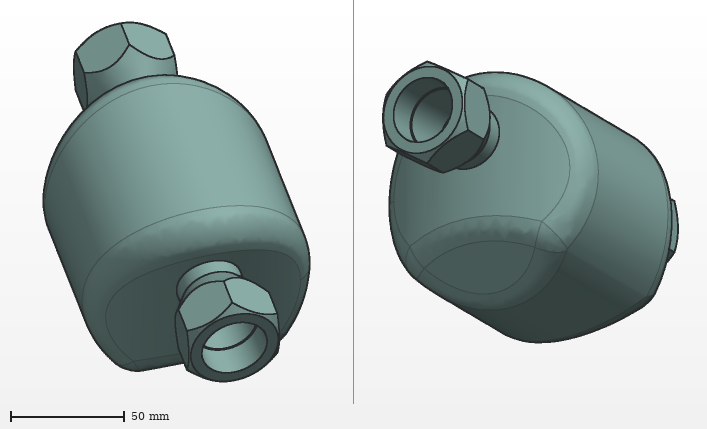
import cadquery as cq
import math

body_diameter = 104.0
body_half_length = 55.5
end_crown_radius = 90.5
bevel_intercept = 81.0
edge_radius = 14.5

overall_half_length = 96.5
port_height = 18.5
neck_diameter = 30.0
cone_start = 63.0
cone_angle = math.radians(30)
hex_flats = 41.5
hex_corners = hex_flats / math.cos(math.radians(30))
face_diameter = 40.1
socket_diameter = 30.0
socket_depth = 15.0
bore_diameter = 28.5


def make_body():
    """Cylinder along X with crowned ends and bevelled lower ends, all edges rounded."""
    body_radius = body_diameter / 2
    barrel = cq.Workplane("YZ").circle(body_radius).extrude(body_half_length, both=True)

    crown_offset = end_crown_radius - body_half_length
    for side in (-1, 1):
        crown = (
            cq.Workplane("XY")
            .center(-side * crown_offset, 0)
            .circle(end_crown_radius)
            .extrude(body_diameter, both=True)
        )
        barrel = barrel.intersect(crown)

    v_top = body_diameter
    v_half_width = bevel_intercept + v_top
    bevels = (
        cq.Workplane("XZ")
        .polyline([(0, -bevel_intercept), (v_half_width, v_top), (-v_half_width, v_top)])
        .close()
        .extrude(body_diameter, both=True)
    )
    return barrel.intersect(bevels).edges().fillet(edge_radius)


def make_connection():
    """Neck, cone and chamfered hexagon on the +X end, centred on the port axis."""
    neck_radius = neck_diameter / 2
    face_radius = face_diameter / 2
    corner_radius = hex_corners / 2
    cone_end = cone_start + (corner_radius - neck_radius) / math.tan(cone_angle)
    chamfer_start = overall_half_length - (corner_radius - face_radius)
    envelope = (
        cq.Workplane("XZ")
        .polyline([
            (0, 0),
            (0, neck_radius),
            (cone_start, neck_radius),
            (cone_end, corner_radius),
            (chamfer_start, corner_radius),
            (overall_half_length, face_radius),
            (overall_half_length, 0),
        ])
        .close()
        .revolve(360, (0, 0, 0), (1, 0, 0))
    )
    hexagon = (
        cq.Workplane("YZ")
        .transformed(rotate=(0, 0, 90))
        .polygon(6, hex_corners)
        .extrude(overall_half_length)
    )
    return envelope.intersect(hexagon).translate((0, 0, port_height))


def make_bore():
    """Stepped blind bore entering from the +X end."""
    bore = (
        cq.Workplane("YZ", origin=(body_half_length, 0, port_height))
        .circle(bore_diameter / 2)
        .extrude(overall_half_length - body_half_length)
    )
    socket = (
        cq.Workplane("YZ", origin=(overall_half_length, 0, port_height))
        .circle(socket_diameter / 2)
        .extrude(-socket_depth)
    )
    return bore.union(socket)


right_connection = make_connection()
right_bore = make_bore()
result = (
    make_body()
    .union(right_connection)
    .union(right_connection.mirror("YZ"))
    .cut(right_bore)
    .cut(right_bore.mirror("YZ"))
)